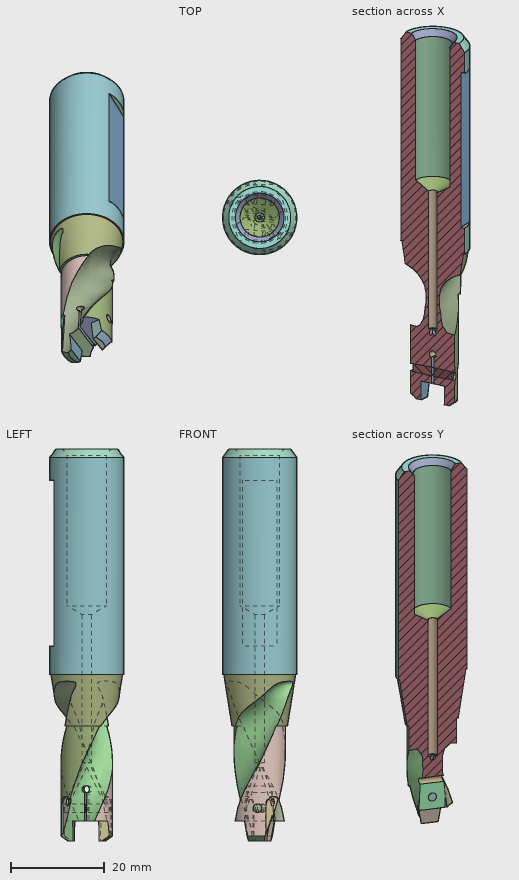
import cadquery as cq
import math

total_length = 83.7
shank_radius = 7.95
shank_bottom = 35.6
shank_chamfer_width = 1.3
shank_chamfer_height = 1.8

collar_top_radius = 7.7
collar_bottom_radius = 5.9
collar_bottom = 24.5

drill_radius = 5.5
tip_chamfer_width = 1.5
tip_chamfer_height = 1.1

flat_depth = 0.9
flat_bottom = 41.6
flat_top = 77.0

bore_radius = 4.2
bore_depth = 33.5
bore_cone_angle = 118.0
countersink_radius = 5.2
countersink_depth = 1.4
coolant_radius = 1.0
coolant_bottom = 16.7

side_count = 2

flute_radius = 5.5
flute_core_radius = 1.6
flute_tip_core_radius = 2.9
flute_tip_end = 7.5
flute_full_start = 16.7
flute_runout_start = 25.7
flute_runout_slope = 0.63
flute_start_angle = 136.0
flute_twist = 5.02
flute_runout_twist = 7.171
flute_bottom = -0.8
flute_top = 36.4
flute_sections = 16

tip_clocking = -5.0
seat_width = 5.6
seat_depth = 4.3
prong_top_half_width = 2.85
prong_end_half_width = 2.1

slit_width = 0.5
relief_radius = 0.75
relief_height = 11.05

pocket_angle = 39.0
pocket_radius = 1.8
pocket_top = 9.5
pocket_floor = 4.9

duct_radius = 0.4
duct_exit_height = 8.3

pin_radius = 0.9
pin_height = 7.0
pin_recess = 0.7

cut_reach = 2 * shank_radius


def clocked(shape, index=0):
    """Turn a tip feature to its working angle, or to its repeat on the opposite side."""
    return shape.rotate((0, 0, 0), (0, 0, 1), tip_clocking + 360 / side_count * index)


def turned_blank():
    """Revolved drill, collar and shank."""
    return (
        cq.Workplane("XZ")
        .moveTo(0, 0)
        .lineTo(drill_radius - tip_chamfer_width, 0)
        .lineTo(drill_radius, tip_chamfer_height)
        .lineTo(drill_radius, collar_bottom)
        .lineTo(collar_bottom_radius, collar_bottom)
        .lineTo(collar_top_radius, shank_bottom)
        .lineTo(shank_radius, shank_bottom)
        .lineTo(shank_radius, total_length - shank_chamfer_height)
        .lineTo(shank_radius - shank_chamfer_width, total_length)
        .lineTo(0, total_length)
        .close()
        .revolve()
    )


def coolant_bore():
    """Countersunk bore with a conical bottom and a thin axial hole below it."""
    bore_bottom = total_length - bore_depth
    cone_height = (bore_radius - coolant_radius) / math.tan(math.radians(bore_cone_angle / 2))
    return (
        cq.Workplane("XZ")
        .moveTo(0, coolant_bottom)
        .lineTo(coolant_radius, coolant_bottom)
        .lineTo(coolant_radius, bore_bottom - cone_height)
        .lineTo(bore_radius, bore_bottom)
        .lineTo(bore_radius, total_length - countersink_depth)
        .lineTo(countersink_radius, total_length)
        .lineTo(0, total_length)
        .close()
        .revolve()
    )


def shank_flat():
    """Block that cuts the clamping flat."""
    return (
        cq.Workplane("XY")
        .box(2 * shank_radius, shank_radius, flat_top - flat_bottom, centered=(True, False, False))
        .translate((0, shank_radius - flat_depth, flat_bottom))
    )


def flute_floor(height):
    """Distance from the axis to the flute floor."""
    fraction = (height - flute_tip_end) / (flute_full_start - flute_tip_end)
    fraction = min(max(fraction, 0), 1)
    core = flute_tip_core_radius + fraction * (flute_core_radius - flute_tip_core_radius)
    return core + flute_runout_slope * max(height - flute_runout_start, 0)


def flute_angle(height):
    """Direction of the flute centre, in degrees from +X."""
    helix_height = min(height, flute_runout_start)
    runout_height = max(height - flute_runout_start, 0)
    return flute_start_angle + flute_twist * helix_height + flute_runout_twist * runout_height


def flute_section(height):
    """Half circle at one height, with its round side toward the axis."""
    center = flute_floor(height) + flute_radius
    return (
        cq.Workplane("XY", origin=(0, 0, height))
        .moveTo(center, flute_radius)
        .threePointArc((center - flute_radius, 0), (center, -flute_radius))
        .close()
        .val()
        .rotate((0, 0, 0), (0, 0, 1), flute_angle(height))
    )


def flute():
    """Loft of half circles that climb, twist and finally leave the collar."""
    step = (flute_top - flute_bottom) / (flute_sections - 1)
    wires = [flute_section(flute_bottom + step * index) for index in range(flute_sections)]
    return cq.Workplane(cq.Solid.makeLoft(wires))


def seat():
    """Slot across the tip."""
    return cq.Workplane("XY").box(cut_reach, seat_width, 2 * seat_depth)


def prong_flank():
    """Cut beside the prongs on the +X side, narrowing toward the tip."""
    return (
        cq.Workplane("XZ")
        .moveTo(prong_end_half_width, 0)
        .lineTo(prong_top_half_width, seat_depth)
        .lineTo(cut_reach, seat_depth)
        .lineTo(cut_reach, 0)
        .close()
        .extrude(shank_radius, both=True)
    )


def clamping_slit():
    """Thin slit along X with a round relief hole at its upper end."""
    slit = cq.Workplane("XY").box(cut_reach, slit_width, relief_height, centered=(True, True, False))
    relief = (
        cq.Workplane("YZ")
        .center(0, relief_height)
        .circle(relief_radius)
        .extrude(cut_reach / 2, both=True)
    )
    return slit.union(relief)


def edge_pocket():
    """Round-topped pocket with a flat floor, open toward the tip."""
    arch_center = pocket_top - pocket_radius
    return (
        cq.Workplane("XZ", origin=(0, -pocket_floor, 0))
        .moveTo(-pocket_radius, 0)
        .lineTo(-pocket_radius, arch_center)
        .threePointArc((0, pocket_top), (pocket_radius, arch_center))
        .lineTo(pocket_radius, 0)
        .close()
        .extrude(shank_radius)
        .rotate((0, 0, 0), (0, 0, 1), pocket_angle)
    )


def coolant_duct():
    """Straight duct that slopes from the axis down into the pocket."""
    start = cq.Vector(0, 0, coolant_bottom)
    direction = cq.Vector(0, -pocket_floor, duct_exit_height) - start
    duct_length = direction.Length + 2 * duct_radius
    duct = cq.Solid.makeCylinder(duct_radius, duct_length, start, direction)
    return cq.Workplane(duct).rotate((0, 0, 0), (0, 0, 1), pocket_angle)


def pin_cylinder(outer_end):
    """Cylinder on the -Y side from the slit wall to a given distance from the axis."""
    slit_wall = slit_width / 2
    return (
        cq.Workplane("XZ", origin=(0, -slit_wall, pin_height))
        .circle(pin_radius)
        .extrude(outer_end - slit_wall)
    )


def make_drill_body():
    flute_cutter = flute()
    body = turned_blank().cut(shank_flat()).cut(coolant_bore())
    body = body.cut(clocked(seat())).cut(clocked(clamping_slit()))
    for index in range(side_count):
        body = body.cut(flute_cutter.rotate((0, 0, 0), (0, 0, 1), 360 / side_count * index))
        body = body.cut(clocked(prong_flank(), index))
        body = body.cut(clocked(edge_pocket(), index))
        body = body.cut(clocked(coolant_duct(), index))
        body = body.cut(clocked(pin_cylinder(shank_radius), index))
    return body


def make_pin(index):
    return clocked(pin_cylinder(drill_radius - pin_recess), index)


drill_body = make_drill_body()
pins = [make_pin(index) for index in range(side_count)]

result = cq.Compound.makeCompound([drill_body.val(), *[pin.val() for pin in pins]])